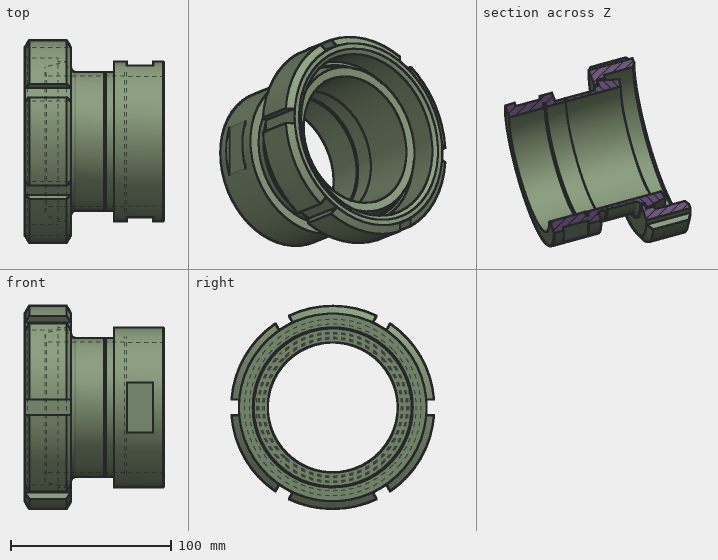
import cadquery as cq
import math

nut_diameter = 127.0
nut_length = 29.1
nut_chamfer_length = 2.9
nut_face_diameter = 117.2
slot_count = 6
slot_width = 9.7
mouth_diameter = 110.4
thread_diameter = 104.3
mouth_chamfer_length = 1.8
thread_end = 21.0
nut_recess_diameter = 100.0
nut_floor = 26.2
nut_rear_hole = 94.0

liner_front = 12.7
face_dish = 0.9
cone_front_diameter = 93.0
neck_diameter = 87.0
neck_fillet = 2.5
liner_end = 49.5
liner_bore = 81.5

total_length = 87.0
joint_diameter = 85.6
joint_chamfer_length = 1.4
body_start = 55.8
body_diameter = 100.0
body_end_chamfer = 0.6
exit_bore = 81.0
groove_diameter = 87.9
groove_start = 62.4
groove_width = 1.3
flat_start = 63.9
flat_length = 16.4
across_flats = 95.0


def revolve_profile(profile):
    """Turn an (axial position, radius) outline about the X axis."""
    return profile.close().revolve(360, (0, 0, 0), (1, 0, 0))


def make_nut():
    nut = revolve_profile(
        cq.Workplane("XY")
        .moveTo(0, mouth_diameter / 2)
        .lineTo(0, nut_face_diameter / 2)
        .lineTo(nut_chamfer_length, nut_diameter / 2)
        .lineTo(nut_length - nut_chamfer_length, nut_diameter / 2)
        .lineTo(nut_length, nut_face_diameter / 2)
        .lineTo(nut_length, nut_rear_hole / 2)
        .lineTo(nut_floor, nut_rear_hole / 2)
        .lineTo(nut_floor, nut_recess_diameter / 2)
        .lineTo(thread_end, nut_recess_diameter / 2)
        .lineTo(thread_end, thread_diameter / 2)
        .lineTo(mouth_chamfer_length, thread_diameter / 2)
    )
    slot_depth = (nut_diameter - nut_face_diameter) / 2
    slot = (
        cq.Workplane("XY")
        .box(nut_length, slot_depth, slot_width, centered=(False, False, True))
        .translate((0, nut_face_diameter / 2, 0))
    )
    for index in range(slot_count):
        angle = index * 360 / slot_count
        nut = nut.cut(slot.rotate((0, 0, 0), (1, 0, 0), angle))
    return nut


def make_liner():
    neck_radius = neck_diameter / 2
    fillet_offset = neck_fillet * (1 - math.sqrt(0.5))
    return revolve_profile(
        cq.Workplane("XY")
        .moveTo(liner_front + face_dish, liner_bore / 2)
        .lineTo(liner_front, cone_front_diameter / 2)
        .lineTo(nut_floor, nut_recess_diameter / 2)
        .lineTo(nut_floor, neck_radius + neck_fillet)
        .lineTo(nut_length, neck_radius + neck_fillet)
        .threePointArc(
            (nut_length + fillet_offset, neck_radius + fillet_offset),
            (nut_length + neck_fillet, neck_radius),
        )
        .lineTo(liner_end, neck_radius)
        .lineTo(liner_end, liner_bore / 2)
    )


def make_adapter():
    adapter = revolve_profile(
        cq.Workplane("XY")
        .moveTo(liner_end, liner_bore / 2)
        .lineTo(liner_end, joint_diameter / 2)
        .lineTo(liner_end + joint_chamfer_length, neck_diameter / 2)
        .lineTo(body_start, neck_diameter / 2)
        .lineTo(body_start, body_diameter / 2)
        .lineTo(total_length - body_end_chamfer, body_diameter / 2)
        .lineTo(total_length, body_diameter / 2 - body_end_chamfer)
        .lineTo(total_length, exit_bore / 2)
        .lineTo(groove_start + groove_width, exit_bore / 2)
        .lineTo(groove_start + groove_width, groove_diameter / 2)
        .lineTo(groove_start, groove_diameter / 2)
        .lineTo(groove_start, liner_bore / 2)
    )
    flat_cutter = (
        cq.Workplane("XY")
        .box(flat_length, body_diameter, body_diameter, centered=(False, False, True))
        .translate((flat_start, across_flats / 2, 0))
    )
    for angle in (0, 180):
        adapter = adapter.cut(flat_cutter.rotate((0, 0, 0), (1, 0, 0), angle))
    return adapter


nut = make_nut()
liner = make_liner()
adapter = make_adapter()

result = cq.Compound.makeCompound([nut.val(), liner.val(), adapter.val()])